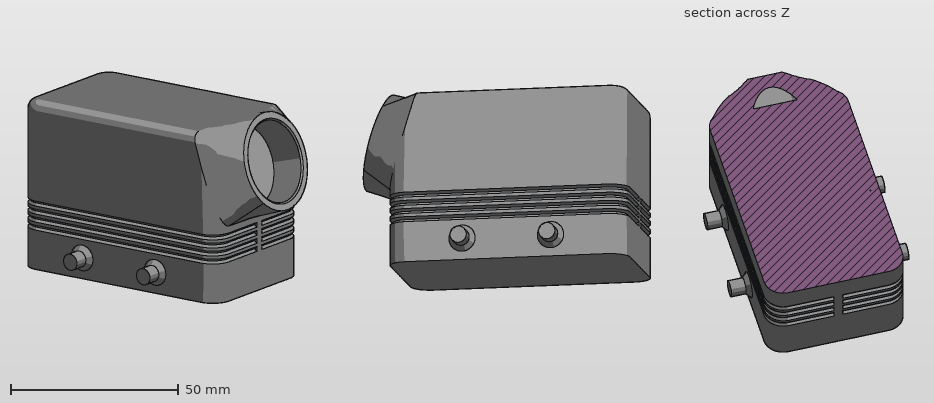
import cadquery as cq
import math

body_length = 73.0
body_width = 43.0
body_height = 52.0
corner_radius = 6.0
top_fillet = 3.0

entry_tilt = 17.5
entry_length = 11.0
entry_diameter = 30.0
entry_overhang = 10.49
entry_tip_x = body_length / 2 + entry_overhang
entry_tip_z = 55.3
mouth_diameter = 26.0
mouth_chamfer = 0.5
bore_diameter = mouth_diameter - 2 * mouth_chamfer

groove_count = 4
groove_pitch = 2.5
groove_width = 1.5
groove_depth = groove_width / 2
lowest_groove_z = 13.0
groove_gap = 2.7

pegs_per_side = 2
peg_spacing = 27.0
first_peg_inset = 23.0
first_peg_x = -body_length / 2 + first_peg_inset
peg_z = 6.5
peg_radius = 2.5
peg_tip_y = 27.5
peg_base_radius = 4.0
peg_base_height = peg_base_radius - peg_radius

tilt = math.radians(entry_tilt)
entry_axis = cq.Vector(math.cos(tilt), 0, math.sin(tilt))
entry_radius = entry_diameter / 2
mouth_center = cq.Vector(
    entry_tip_x - entry_radius * math.sin(tilt), 0, entry_tip_z - entry_radius * math.cos(tilt)
)
root_center = mouth_center - entry_axis * entry_length


def make_block():
    """Full rounded hood block before the cable entry is added."""
    block = cq.Workplane("XY").box(body_length, body_width, body_height, centered=(True, True, False))
    return block.edges("|Z").fillet(corner_radius).faces(">Z").edges().fillet(top_fillet)


def cut_at_entry(block):
    """Remove everything of the block beyond the root plane of the entry."""
    cutter_size = 2 * body_length
    root_plane = cq.Plane(root_center, xDir=(0, 1, 0), normal=entry_axis)
    cutter = cq.Workplane(root_plane).rect(cutter_size, cutter_size).extrude(cutter_size)
    return block.cut(cutter)


def make_spout(trimmed):
    """Loft from the slanted section of the body to the round mouth."""
    section = trimmed.faces(cq.selectors.DirectionMinMaxSelector(entry_axis, True)).val()
    mouth = cq.Wire.makeCircle(entry_radius, mouth_center, entry_axis)
    return cq.Workplane(cq.Solid.makeLoft([section.outerWire(), mouth], True))


def make_bore():
    """Blind bore along the entry axis with a chamfered mouth."""
    bore = cq.Solid.makeCylinder(bore_diameter / 2, entry_length, root_center, entry_axis)
    lead_in = cq.Solid.makeCone(
        mouth_diameter / 2, bore_diameter / 2, mouth_chamfer, mouth_center, entry_axis * -1
    )
    return cq.Workplane(bore).union(cq.Workplane(lead_in))


def make_groove(z):
    """V-shaped ring around the body at height z, with a gap at both ends."""
    half_width = groove_width / 2
    outline = cq.Sketch().rect(body_length, body_width).vertices().fillet(corner_radius)
    guide = cq.Workplane("XY", origin=(0, 0, z)).placeSketch(outline).extrude(groove_width)
    path = cq.Workplane(guide.faces("<Z").wires().val())
    profile = cq.Workplane("YZ").moveTo(body_width / 2, z - half_width)
    profile = profile.lineTo(body_width / 2, z + half_width)
    profile = profile.lineTo(body_width / 2 - groove_depth, z).close()
    ring = profile.sweep(path, transition="round")
    gap = cq.Workplane("XY", origin=(0, 0, z)).box(2 * body_length, groove_gap, 2 * groove_width)
    return ring.cut(gap)


def make_peg(x, side):
    """Locking peg with a conical foot; side is +1 or -1 along Y."""
    wall_y = body_width / 2
    outward = cq.Vector(0, side, 0)
    peg = cq.Solid.makeCylinder(peg_radius, peg_tip_y, cq.Vector(x, 0, peg_z), outward)
    foot = cq.Solid.makeCone(
        peg_base_radius, peg_radius, peg_base_height, cq.Vector(x, side * wall_y, peg_z), outward
    )
    return cq.Workplane(peg).union(cq.Workplane(foot))


trimmed_body = cut_at_entry(make_block())
result = trimmed_body.union(make_spout(trimmed_body)).cut(make_bore())

for index in range(groove_count):
    result = result.cut(make_groove(lowest_groove_z + index * groove_pitch))

for peg_side in (-1, 1):
    for peg_index in range(pegs_per_side):
        result = result.union(make_peg(first_peg_x + peg_index * peg_spacing, peg_side))